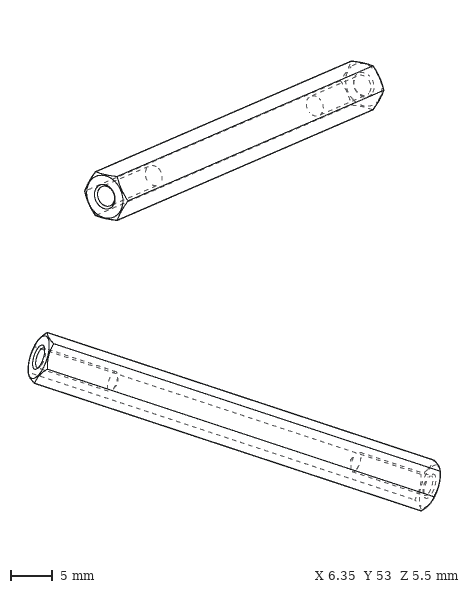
import cadquery as cq
import math

length = 53.0
across_flats = 5.5
across_corners = across_flats / math.cos(math.radians(30))

end_face_diameter = 5.3
corner_chamfer_angle = 30.0

hole_diameter = 2.5
hole_depth = 10.0
countersink_diameter = 3.0
countersink_angle = 90.0
drill_point_angle = 118.0


def revolve_about_y(profile):
    """Spin an (x, y) half profile about the Y axis."""
    return cq.Workplane("XY").polyline(profile).close().revolve(360, (0, 0, 0), (0, 1, 0))


def hexagonal_bar():
    """Hexagonal bar centred on the origin, with corners on the X axis."""
    return cq.Workplane("XZ").polygon(6, across_corners).extrude(length / 2, both=True)


def chamfer_envelope():
    """Round bar with conical ends; it trims only the hexagon's corners."""
    half_length = length / 2
    face_radius = end_face_diameter / 2
    outer_radius = across_corners / 2
    chamfer_length = (outer_radius - face_radius) * math.tan(math.radians(corner_chamfer_angle))
    return revolve_about_y([
        (0, -half_length),
        (face_radius, -half_length),
        (outer_radius, -half_length + chamfer_length),
        (outer_radius, half_length - chamfer_length),
        (face_radius, half_length),
        (0, half_length),
    ])


def blind_hole():
    """Countersunk hole with a drill point, entering from the -Y end."""
    entry = -length / 2
    radius = hole_diameter / 2
    sink_radius = countersink_diameter / 2
    sink_depth = (sink_radius - radius) / math.tan(math.radians(countersink_angle / 2))
    point_depth = radius / math.tan(math.radians(drill_point_angle / 2))
    return revolve_about_y([
        (0, entry),
        (sink_radius, entry),
        (radius, entry + sink_depth),
        (radius, entry + hole_depth),
        (0, entry + hole_depth + point_depth),
    ])


hole = blind_hole()
result = hexagonal_bar().intersect(chamfer_envelope()).cut(hole).cut(hole.mirror("XZ"))